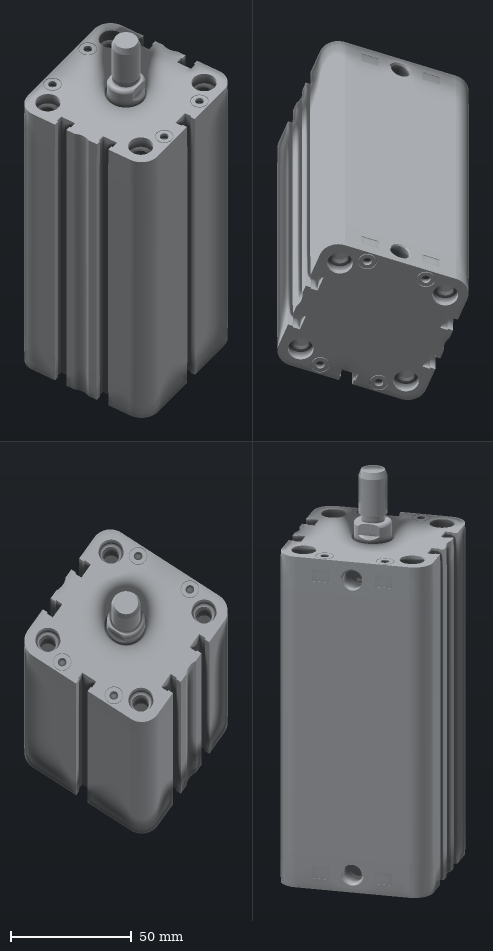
import cadquery as cq
import math

body_width = 65.5
corner_radius = 8.2
overall_length = 175
body_length = 145.2
cap_length = 14.7
cap_draft = 0.2
half_width = body_width / 2
barrel_length = body_length - 2 * cap_length
front_seam = body_length - cap_length

slot_mouth_width = 5.8
slot_width = 7
slot_depth = 5.5
slot_lip = 2.3
slot_offset = 10.5

flute_width = 7
flute_depth = 0.9
flute_radius = (flute_width**2 / 4 + flute_depth**2) / (2 * flute_depth)

mount_offset = 23.3
mount_counterbore_diameter = 10.5
mount_counterbore_depth = 5.2
mount_countersink_diameter = 7.7
mount_hole_diameter = 6.6
mount_countersink_depth = (mount_countersink_diameter - mount_hole_diameter) / 2
screw_x = 28
screw_y = 13.0
screw_recess_diameter = 7.7
screw_head_diameter = 7.2
screw_gap_depth = 0.5
screw_socket_diameter = 3.7
screw_socket_depth = 2.6

port_diameter = 8.4
port_mouth_diameter = 10.0
port_chamfer = (port_mouth_diameter - port_diameter) / 2
port_depth = 10.5
rear_port_z = 8.0
front_port_z = 137.0
passage_diameter = 3.5
passage_depth = 3.5
passage_drop = 2.1

label_offset = 13.5
label_width = 7.5
label_height = 5.2
label_depth = 0.2
rear_label_z = 7.4
front_label_z = 137.9

rod_diameter = 16.0
rod_shoulder_z = 153.0
rod_edge_size = 1.4
rod_edge_bulge_inset = 0.5
neck_diameter = 10.0
neck_length = 3.2
thread_diameter = 12.0
thread_tip_length = 2.8
thread_chamfer_length = 0.5
flat_width = 13.0
flat_bottom_z = 147.9

wiper_diameter = 18.0
wiper_seat_diameter = 16.6
wiper_seat_depth = 1.8
wiper_chamfer = (wiper_diameter - wiper_seat_diameter) / 2


def slot_cutter(length):
    """Cutter for one slot rising from Z = 0, opening toward +Y at X = 0."""
    channel_depth = slot_depth - slot_lip
    channel = (
        cq.Workplane("XY")
        .center(0, half_width - slot_depth + channel_depth / 2)
        .rect(slot_width, channel_depth)
        .extrude(length)
    )
    mouth = (
        cq.Workplane("XY")
        .center(0, half_width - slot_depth / 2)
        .rect(slot_mouth_width, slot_depth)
        .extrude(length)
    )
    return channel.union(mouth)


def profile_cutters(length, lean=0):
    """Cutters for all slots and flutes rising from Z = 0, leaning inward by an angle."""
    slot = slot_cutter(length)
    slot_pair_and_flute = (
        cq.Workplane("XY")
        .center(0, half_width - flute_depth + flute_radius)
        .circle(flute_radius)
        .extrude(length)
    )
    for x in (-slot_offset, slot_offset):
        slot_pair_and_flute = slot_pair_and_flute.union(slot.translate((x, 0, 0)))

    seam_edge = ((0, half_width, 0), (1, half_width, 0))
    plus_y_side = slot_pair_and_flute.rotate(*seam_edge, lean)
    minus_y_side = plus_y_side.mirror("XZ")
    plus_x_side = slot.rotate(*seam_edge, lean).rotate((0, 0, 0), (0, 0, 1), -90)
    return plus_y_side.union(minus_y_side).union(plus_x_side)


def rounded_square():
    outline = cq.Sketch().rect(body_width, body_width).vertices().fillet(corner_radius)
    return cq.Workplane("XY").placeSketch(outline)


def make_barrel():
    barrel = rounded_square().extrude(barrel_length).cut(profile_cutters(barrel_length))
    return barrel.translate((0, 0, cap_length))


def cap_block():
    """Drafted and slotted cap with its seam at Z = 0 and its outer face up."""
    draft_angle = math.degrees(math.atan(cap_draft / cap_length))
    block = rounded_square().extrude(cap_length, taper=draft_angle)
    return block.cut(profile_cutters(2 * cap_length, draft_angle))


def cut_mount_holes(cap):
    countersink_bottom = cap_length - mount_counterbore_depth - mount_countersink_depth
    hole = (
        cq.Workplane("XZ")
        .moveTo(0, 0)
        .lineTo(mount_hole_diameter / 2, 0)
        .lineTo(mount_hole_diameter / 2, countersink_bottom)
        .lineTo(mount_countersink_diameter / 2, countersink_bottom + mount_countersink_depth)
        .lineTo(mount_counterbore_diameter / 2, cap_length - mount_counterbore_depth)
        .lineTo(mount_counterbore_diameter / 2, cap_length)
        .lineTo(0, cap_length)
        .close()
        .revolve(360, (0, 0, 0), (0, 1, 0))
    )
    for x in (-mount_offset, mount_offset):
        for y in (-mount_offset, mount_offset):
            cap = cap.cut(hole.translate((x, y, 0)))
    return cap


def cut_screw_recesses(cap):
    """Flush screw heads, each with a ring-shaped gap around it and a socket in its centre."""
    screw_centres = [(x, y) for x in (-screw_x, screw_x) for y in (-screw_y, screw_y)]
    outer_face = cq.Workplane("XY", origin=(0, 0, cap_length)).pushPoints(screw_centres)
    ring_gaps = (
        outer_face.circle(screw_recess_diameter / 2)
        .circle(screw_head_diameter / 2)
        .extrude(-screw_gap_depth)
    )
    sockets = outer_face.circle(screw_socket_diameter / 2).extrude(-screw_socket_depth)
    return cap.cut(ring_gaps).cut(sockets)


def make_plain_cap():
    return cut_screw_recesses(cut_mount_holes(cap_block()))


def port_cutter(port_z):
    """Blind port with a chamfered mouth, entering from the -X side."""
    bore = (
        cq.Workplane("YZ", origin=(-half_width, 0, port_z))
        .circle(port_diameter / 2)
        .extrude(port_depth)
    )
    mouth_x = cap_draft / 2 - half_width
    mouth = cq.Solid.makeCone(
        port_mouth_diameter / 2,
        port_diameter / 2,
        port_chamfer,
        cq.Vector(mouth_x, 0, port_z),
        cq.Vector(1, 0, 0),
    )
    return bore.union(cq.Workplane(mouth))


def label_cutter(label_z):
    return (
        cq.Workplane("YZ", origin=(-half_width, 0, label_z))
        .pushPoints([(-label_offset, 0), (label_offset, 0)])
        .rect(label_width, label_height)
        .extrude(cap_draft / 2 + label_depth)
    )


def make_rear_cap():
    cap = make_plain_cap().mirror("XY").translate((0, 0, cap_length))
    return cap.cut(port_cutter(rear_port_z)).cut(label_cutter(rear_label_z))


def rod_bore_cutter():
    """Bore that fits the rod, opening into a chamfered wiper seat at the front face."""
    bore = (
        cq.Workplane("XY", origin=(0, 0, front_seam)).circle(rod_diameter / 2).extrude(cap_length)
    )
    seat = (
        cq.Workplane("XY", origin=(0, 0, body_length))
        .circle(wiper_seat_diameter / 2)
        .extrude(-wiper_seat_depth)
    )
    seat_mouth = cq.Solid.makeCone(
        wiper_seat_diameter / 2,
        wiper_diameter / 2,
        wiper_chamfer,
        cq.Vector(0, 0, body_length - wiper_chamfer),
    )
    return bore.union(seat).union(cq.Workplane(seat_mouth))


def make_front_cap():
    cap = make_plain_cap().translate((0, 0, front_seam))
    cap = cap.cut(port_cutter(front_port_z)).cut(label_cutter(front_label_z))
    passage = (
        cq.Workplane("YZ", origin=(port_depth - half_width, 0, front_port_z - passage_drop))
        .circle(passage_diameter / 2)
        .extrude(passage_depth)
    )
    return cap.cut(passage).cut(rod_bore_cutter())


def make_rod():
    """Rod from the front cap's inner face to its threaded tip, with two wrench flats."""
    rod_radius = rod_diameter / 2
    neck_radius = neck_diameter / 2
    thread_radius = thread_diameter / 2
    thread_start_z = rod_shoulder_z + neck_length
    rod = (
        cq.Workplane("XZ")
        .moveTo(0, front_seam)
        .lineTo(rod_radius, front_seam)
        .lineTo(rod_radius, rod_shoulder_z - rod_edge_size)
        .threePointArc(
            (rod_radius - rod_edge_bulge_inset, rod_shoulder_z - rod_edge_bulge_inset),
            (rod_radius - rod_edge_size, rod_shoulder_z),
        )
        .lineTo(neck_radius, rod_shoulder_z)
        .lineTo(neck_radius, thread_start_z - thread_chamfer_length)
        .lineTo(thread_radius, thread_start_z)
        .lineTo(thread_radius, overall_length - thread_tip_length)
        .lineTo(neck_radius, overall_length)
        .lineTo(0, overall_length)
        .close()
        .revolve(360, (0, 0, 0), (0, 1, 0))
    )
    flat_x = flat_width / 2
    flat_runout = rod_radius - flat_x
    wrench_flat = (
        cq.Workplane("XZ")
        .moveTo(flat_x, flat_bottom_z)
        .lineTo(rod_radius, flat_bottom_z - flat_runout)
        .lineTo(rod_radius, rod_shoulder_z)
        .lineTo(flat_x, rod_shoulder_z)
        .close()
        .extrude(rod_radius, both=True)
    )
    return rod.cut(wrench_flat).cut(wrench_flat.mirror("YZ"))


rear_cap = make_rear_cap()
barrel = make_barrel()
front_cap = make_front_cap()
rod = make_rod()

bodies = [rear_cap, barrel, front_cap, rod]
result = cq.Compound.makeCompound([body.solids().val() for body in bodies])